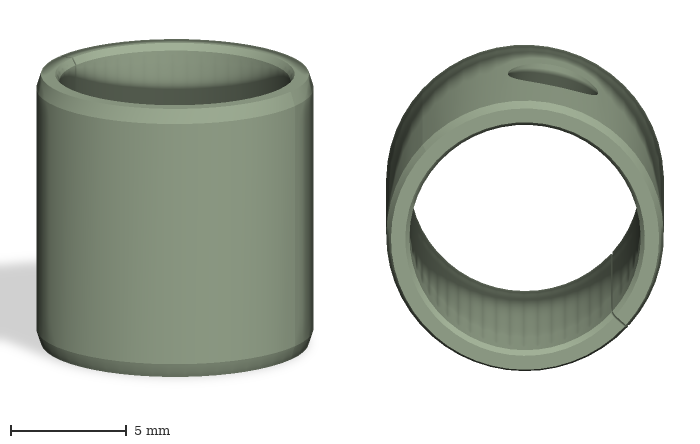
import cadquery as cq
import math

outer_diameter = 12.0
length = 12.0
bore_diameter = 10.0

outer_chamfer_height = 0.62
outer_chamfer_width = 0.2
bore_chamfer_height = 0.3
bore_chamfer_width = 0.18

slit_width = 0.1
slit_offset = 0.07

oil_hole_diameter = 4.0
oil_hole_angle = 60.0

outer_radius = outer_diameter / 2
bore_radius = bore_diameter / 2
half_length = length / 2


def make_sleeve():
    """Revolve the wall section, with its chamfered ends, about Z."""
    end_outer_radius = outer_radius - outer_chamfer_width
    end_bore_radius = bore_radius + bore_chamfer_width
    outer_edge_z = half_length - outer_chamfer_height
    bore_edge_z = half_length - bore_chamfer_height
    section = [
        (bore_radius, -bore_edge_z),
        (end_bore_radius, -half_length),
        (end_outer_radius, -half_length),
        (outer_radius, -outer_edge_z),
        (outer_radius, outer_edge_z),
        (end_outer_radius, half_length),
        (end_bore_radius, half_length),
        (bore_radius, bore_edge_z),
    ]
    return cq.Workplane("XZ").polyline(section).close().revolve(360, (0, 0, 0), (0, 1, 0))


def make_slit():
    """Full-length slot through the wall on the -X side, just off the axis."""
    return cq.Workplane("XY").box(outer_diameter, slit_width, length).translate((-outer_radius, slit_offset, 0))


def make_oil_hole():
    """Radial drill from the axis out through one side of the wall, at mid-length."""
    angle = math.radians(oil_hole_angle)
    direction = (math.cos(angle), math.sin(angle), 0)
    drill_plane = cq.Plane(origin=(0, 0, 0), xDir=(0, 0, 1), normal=direction)
    return cq.Workplane(drill_plane).circle(oil_hole_diameter / 2).extrude(outer_diameter)


result = make_sleeve().cut(make_slit()).cut(make_oil_hole())